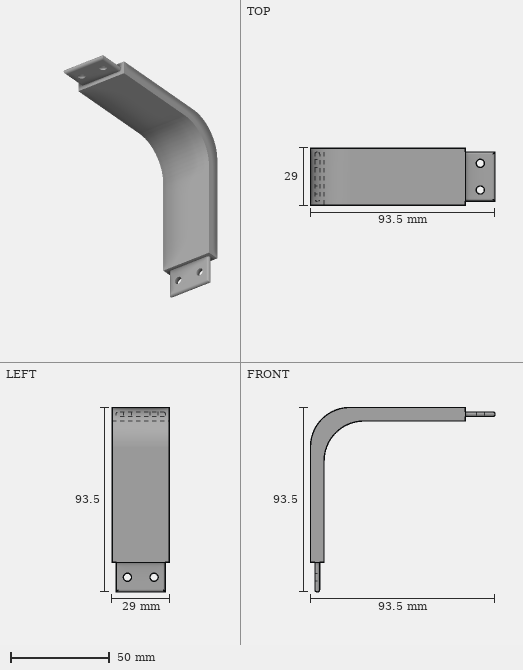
import cadquery as cq

LEG_LENGTH = 78.5
BAR_THICKNESS = 7.0
BAR_WIDTH = 29.0
BEND_RADIUS = 20.0

TAB_LENGTH = 15.0
TAB_WIDTH = 25.0
TAB_THICKNESS = 2.5
TAB_EDGE_RADIUS = TAB_THICKNESS / 2
HOLE_DIAMETER = 4.0
HOLE_SPACING = 13.5
HOLE_FROM_TIP = 7.5


def make_bar():
    """L-shaped bar of constant thickness, with both sides of the bend rounded."""
    profile = (
        cq.Workplane("XZ")
        .moveTo(0, 0)
        .lineTo(LEG_LENGTH, 0)
        .lineTo(LEG_LENGTH, -BAR_THICKNESS)
        .lineTo(BAR_THICKNESS, -BAR_THICKNESS)
        .lineTo(BAR_THICKNESS, -LEG_LENGTH)
        .lineTo(0, -LEG_LENGTH)
        .close()
    )
    bar = profile.extrude(BAR_WIDTH / 2, both=True)
    outer_corner = cq.selectors.NearestToPointSelector((0, 0, 0))
    inner_corner = cq.selectors.NearestToPointSelector((BAR_THICKNESS, 0, -BAR_THICKNESS))
    return bar.edges(outer_corner).fillet(BEND_RADIUS).edges(inner_corner).fillet(BEND_RADIUS)


def make_tab():
    """Tab on the end of the X leg: two round-edged plates crossed so the corners are mitred."""
    middle_z = -BAR_THICKNESS / 2
    tip_x = LEG_LENGTH + TAB_LENGTH
    straight_end_x = tip_x - TAB_EDGE_RADIUS
    top_z = middle_z + TAB_EDGE_RADIUS
    bottom_z = middle_z - TAB_EDGE_RADIUS

    round_tip = (
        cq.Workplane("XZ")
        .moveTo(LEG_LENGTH, bottom_z)
        .lineTo(straight_end_x, bottom_z)
        .threePointArc((tip_x, middle_z), (straight_end_x, top_z))
        .lineTo(LEG_LENGTH, top_z)
        .close()
        .extrude(TAB_WIDTH / 2, both=True)
    )
    round_sides = (
        cq.Workplane("YZ", origin=(LEG_LENGTH, 0, middle_z))
        .slot2D(TAB_WIDTH, TAB_THICKNESS)
        .extrude(TAB_LENGTH)
    )
    holes = (
        cq.Workplane("XY", origin=(tip_x - HOLE_FROM_TIP, 0, middle_z))
        .pushPoints([(0, -HOLE_SPACING / 2), (0, HOLE_SPACING / 2)])
        .circle(HOLE_DIAMETER / 2)
        .extrude(TAB_THICKNESS, both=True)
    )
    return round_tip.intersect(round_sides).cut(holes)


def move_to_z_leg(tab):
    """Turn the tab of the X leg a quarter turn and line it up with the end of the Z leg."""
    quarter_turn = tab.rotate((0, 0, 0), (0, 1, 0), 90)
    return quarter_turn.translate((BAR_THICKNESS, 0, 0))


x_tab = make_tab()
z_tab = move_to_z_leg(x_tab)
result = make_bar().union(x_tab).union(z_tab)